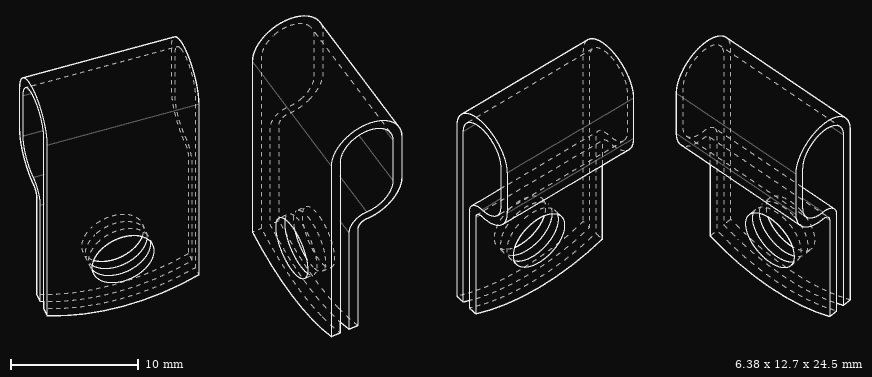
import cadquery as cq
import math

height = 24.52
loop_width = 6.38
strip_width = 12.7
thickness = 0.8

loop_radius = loop_width / 2
loop_straight = 4.73
neck_inner_radius = 0.78
neck_outer_radius = neck_inner_radius + thickness

hole_diameter = 5.17
hole_height = 5.55
end_rise = 1.3

upper_center_z = height - loop_radius
lower_center_z = upper_center_z - loop_straight
neck_center_z = lower_center_z - loop_radius - neck_inner_radius
loop_inner_radius = loop_radius - thickness
diagonal = math.sqrt(0.5)


def make_strip():
    """Bent strip: long leg, loop over the top, neck bend, short leg."""
    loop_outer_offset = loop_radius * diagonal
    loop_inner_offset = loop_inner_radius * diagonal
    neck_outer_offset = neck_outer_radius * diagonal
    neck_inner_offset = neck_inner_radius * diagonal
    profile = (
        cq.Workplane("XZ")
        .moveTo(loop_radius, 0)
        .lineTo(loop_radius, upper_center_z)
        .threePointArc((0, height), (-loop_radius, upper_center_z))
        .lineTo(-loop_radius, lower_center_z)
        .threePointArc(
            (-loop_outer_offset, lower_center_z - loop_outer_offset),
            (0, lower_center_z - loop_radius),
        )
        .threePointArc(
            (neck_inner_offset, neck_center_z + neck_inner_offset),
            (neck_inner_radius, neck_center_z),
        )
        .lineTo(neck_inner_radius, 0)
        .lineTo(neck_outer_radius, 0)
        .lineTo(neck_outer_radius, neck_center_z)
        .threePointArc(
            (neck_outer_offset, neck_center_z + neck_outer_offset),
            (0, lower_center_z - loop_inner_radius),
        )
        .threePointArc(
            (-loop_inner_offset, lower_center_z - loop_inner_offset),
            (-loop_inner_radius, lower_center_z),
        )
        .lineTo(-loop_inner_radius, upper_center_z)
        .threePointArc((0, height - thickness), (loop_inner_radius, upper_center_z))
        .lineTo(loop_inner_radius, 0)
        .close()
    )
    return profile.extrude(strip_width / 2, both=True)


def make_side_outline():
    """Block along X whose bottom is the arc that rounds the leg ends."""
    half_width = strip_width / 2
    return (
        cq.Workplane("YZ")
        .moveTo(-half_width, end_rise)
        .threePointArc((0, 0), (half_width, end_rise))
        .lineTo(half_width, height)
        .lineTo(-half_width, height)
        .close()
        .extrude(loop_radius, both=True)
    )


def make_hole():
    """Cylinder that pierces both legs."""
    return (
        cq.Workplane("YZ")
        .center(0, hole_height)
        .circle(hole_diameter / 2)
        .extrude(loop_radius, both=True)
    )


result = make_strip().intersect(make_side_outline()).cut(make_hole())